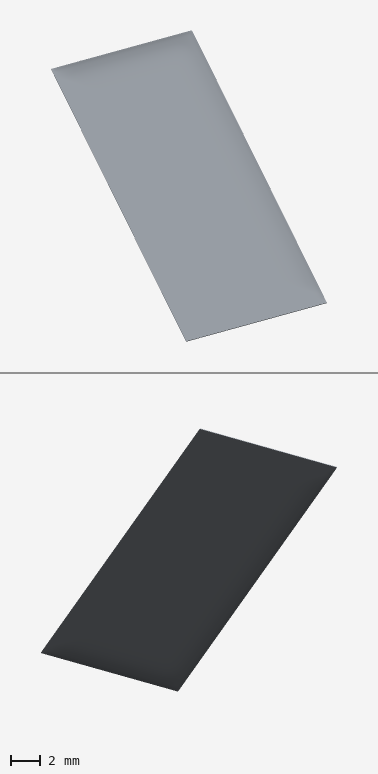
import cadquery as cq

length = 26.0
width = 10.0
thickness = 0.05

result = cq.Workplane("XY").box(length, width, thickness)